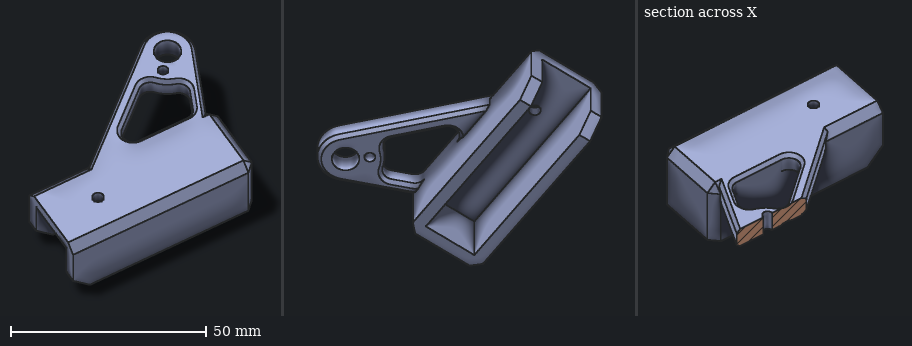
import cadquery as cq
import math

block_width = 22.1
block_length = 54.5
block_height = 18.5
block_chamfer = 2.5
wall = 3.45
foot_chamfer = 5.0
block_hole_diameter = 3.0
block_hole_y = 13.9

arm_thickness = 6.0
arm_chamfer = 1.0
arm_root_x = 3.15
arm_root_front_y = 14.7
arm_root_back_y = 50.8
eye_radius = 7.25
eye_hole_diameter = 7.0
eye_x = -20.45
overall_length = 60.3
eye_y = overall_length - eye_radius
pin_hole_diameter = 2.8
pin_hole_x = -15.75
pin_hole_y = 48.95

window_back_rim = 3.0
window_front_rim = 4.0
window_eye_radius = 10.0
window_fillet = 3.0


def make_block():
    block = cq.Workplane("XY").box(block_width, block_length, block_height, centered=False)
    block = block.edges("|Y and >Z or (|Z and >Y) or (|X and >Y and >Z)").chamfer(block_chamfer)

    channel = cq.Workplane("XY").box(
        block_width - 2 * wall, block_length - wall, block_height - wall, centered=False
    ).translate((wall, 0, 0))
    foot_cut = (
        cq.Workplane("YZ")
        .polyline([(0, 0), (foot_chamfer, 0), (0, foot_chamfer)])
        .close()
        .extrude(block_width)
    )
    hole = (
        cq.Workplane("XY")
        .center(block_width / 2, block_hole_y)
        .circle(block_hole_diameter / 2)
        .extrude(block_height)
    )
    return block.cut(channel).cut(foot_cut).cut(hole)


def eye_tangent(root_y, side):
    """Direction from the eye to the root, and outward normal, of one straight arm edge.

    side is +1 for the back edge and -1 for the front edge.
    """
    dx = arm_root_x - eye_x
    dy = root_y - eye_y
    angle = math.atan2(dy, dx) - side * math.asin(eye_radius / math.hypot(dx, dy))
    direction = cq.Vector(math.cos(angle), math.sin(angle))
    normal = cq.Vector(-math.sin(angle), math.cos(angle)) * side
    return direction, normal


def window_side(direction, normal, rim):
    """Ends of a window side parallel to an arm edge: on the eye curve and at X = 0."""
    offset = eye_radius - rim
    foot = cq.Vector(eye_x, eye_y) + normal * offset
    curve_end = foot + direction * math.sqrt(window_eye_radius**2 - offset**2)
    block_end = foot - direction * (foot.x / direction.x)
    return curve_end, block_end


def make_arm():
    eye = cq.Vector(eye_x, eye_y)
    back_direction, back_normal = eye_tangent(arm_root_back_y, 1)
    front_direction, front_normal = eye_tangent(arm_root_front_y, -1)
    base = cq.Workplane("XY").workplane(offset=block_height - arm_thickness)

    arm = (
        base.moveTo(arm_root_x, arm_root_front_y)
        .lineTo(arm_root_x, arm_root_back_y)
        .lineTo(*(eye + back_normal * eye_radius).toTuple()[:2])
        .threePointArc(
            (eye_x - eye_radius, eye_y),
            (eye + front_normal * eye_radius).toTuple()[:2],
        )
        .close()
        .extrude(arm_thickness)
    )

    back_left, back_right = window_side(back_direction, back_normal, window_back_rim)
    front_left, front_right = window_side(front_direction, front_normal, window_front_rim)
    curve_middle = eye + (back_left + front_left - eye * 2).normalized() * window_eye_radius
    window = (
        base.moveTo(front_right.x, front_right.y)
        .lineTo(back_right.x, back_right.y)
        .lineTo(back_left.x, back_left.y)
        .threePointArc((curve_middle.x, curve_middle.y), (front_left.x, front_left.y))
        .close()
        .extrude(arm_thickness)
        .edges("|Z")
        .fillet(window_fillet)
    )

    arm = arm.cut(window).faces("<Z or >Z").edges("not >X").chamfer(arm_chamfer)
    for x, y, diameter in (
        (eye_x, eye_y, eye_hole_diameter),
        (pin_hole_x, pin_hole_y, pin_hole_diameter),
    ):
        arm = arm.cut(base.center(x, y).circle(diameter / 2).extrude(arm_thickness))
    return arm


result = make_block().union(make_arm())